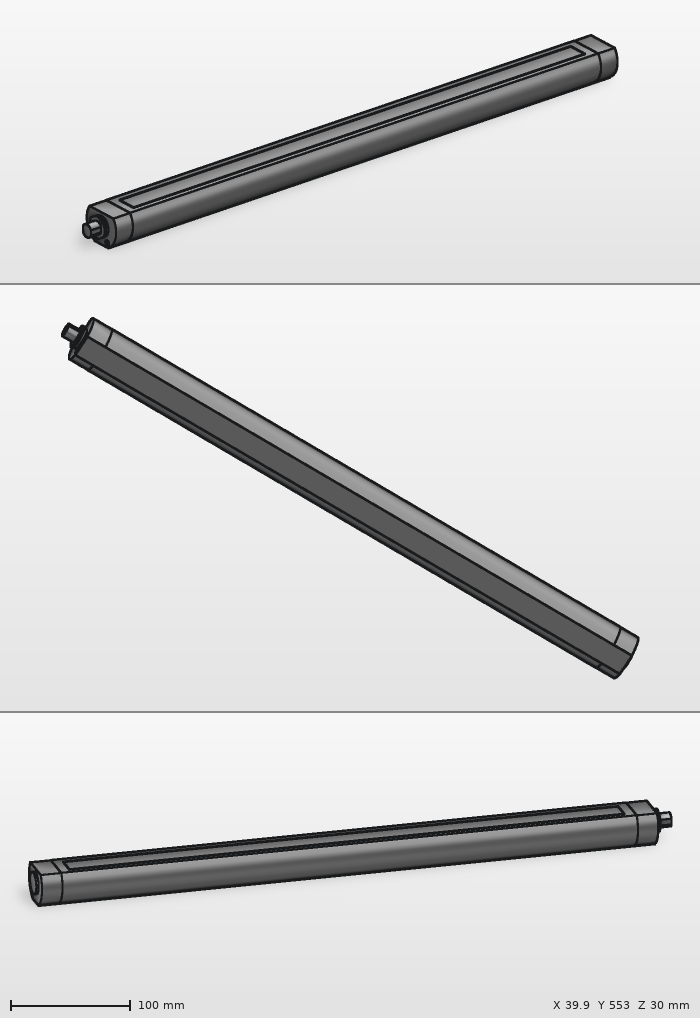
import cadquery as cq
import math

housing_radius = 19.96
top_z = 11.9
height = 29.95
foot_half_width = 9.6

total_length = 553.0
housing_length = 535.5
cap_length = 17.8
cap_inset = 0.15
rear_disc_thickness = 2.0
rear_disc_diameter = 19.0

window_width = 19.0
window_length = 482.0
window_depth = 0.5

connector_z = -0.9
collar_diameter = 18.6
collar_length = 2.8
nut_across_flats = 19.2
nut_trim_diameter = 20.5
nut_length = 1.8
plug_diameter = 12.0
plug_across_flats = 10.9

screw_x = 7.4
screw_z = -13.9
screw_head_diameter = 4.6
screw_head_depth = 1.5
screw_hole_diameter = 2.4
screw_hole_depth = 5.0

bottom_z = top_z - height
front_y = -housing_length / 2
rear_y = housing_length / 2
nut_y = front_y - collar_length
plug_length = total_length - housing_length - rear_disc_thickness


def cross_plane(y):
    """Plane across the part at y; extrusions from it run toward -Y."""
    return cq.Workplane("XZ", origin=(0, y, 0))


def housing_bar(y, length, inset=0.0):
    """Length of housing from y toward -Y, with its top and round sides pulled in by inset."""
    radius = housing_radius - inset
    flat_z = top_z - inset
    top_half_width = math.sqrt(radius**2 - flat_z**2)
    foot_top_z = -math.sqrt(radius**2 - foot_half_width**2)
    return (
        cross_plane(y)
        .moveTo(-top_half_width, flat_z)
        .lineTo(top_half_width, flat_z)
        .threePointArc((radius, 0), (foot_half_width, foot_top_z))
        .lineTo(foot_half_width, bottom_z)
        .lineTo(-foot_half_width, bottom_z)
        .lineTo(-foot_half_width, foot_top_z)
        .threePointArc((-radius, 0), (-top_half_width, flat_z))
        .close()
        .extrude(length)
    )


def connector_plane(y):
    """Cross plane centred on the connector axis, which is also the rear disc axis."""
    return cross_plane(y).center(0, connector_z)


def disc(diameter, y, length):
    """Cylinder on the connector axis from y toward -Y."""
    return connector_plane(y).circle(diameter / 2).extrude(length)


def make_housing():
    housing = housing_bar(rear_y - cap_length, housing_length - 2 * cap_length)
    for cap_rear_y in (rear_y, front_y + cap_length):
        housing = housing.union(housing_bar(cap_rear_y, cap_length, cap_inset))
    housing = housing.union(disc(rear_disc_diameter, rear_y + rear_disc_thickness, rear_disc_thickness))
    window = (
        cq.Workplane("XY", origin=(0, 0, top_z))
        .rect(window_width, window_length)
        .extrude(-window_depth)
    )
    return housing.cut(window)


def make_nut():
    """Hexagonal nut with upright side flats and its corners trimmed round."""
    across_corners = nut_across_flats / math.cos(math.pi / 6)
    hexagon = connector_plane(nut_y).polygon(6, across_corners).extrude(nut_length)
    hexagon = hexagon.rotate((0, 0, connector_z), (0, 1, connector_z), 30)
    return hexagon.intersect(disc(nut_trim_diameter, nut_y, nut_length))


def make_plug():
    """Round plug with a flat on each side."""
    flats = connector_plane(front_y).rect(plug_across_flats, plug_diameter).extrude(plug_length)
    return disc(plug_diameter, front_y, plug_length).intersect(flats)


def screw_recesses():
    """Counterbored blind holes, one on each side below the connector."""
    centres = [(-screw_x, screw_z), (screw_x, screw_z)]
    heads = (
        cross_plane(front_y)
        .pushPoints(centres)
        .circle(screw_head_diameter / 2)
        .extrude(-screw_head_depth)
    )
    holes = (
        cross_plane(front_y)
        .pushPoints(centres)
        .circle(screw_hole_diameter / 2)
        .extrude(-screw_hole_depth)
    )
    return heads.union(holes)


result = make_housing().cut(screw_recesses())
result = result.union(disc(collar_diameter, front_y, collar_length))
result = result.union(make_nut()).union(make_plug())